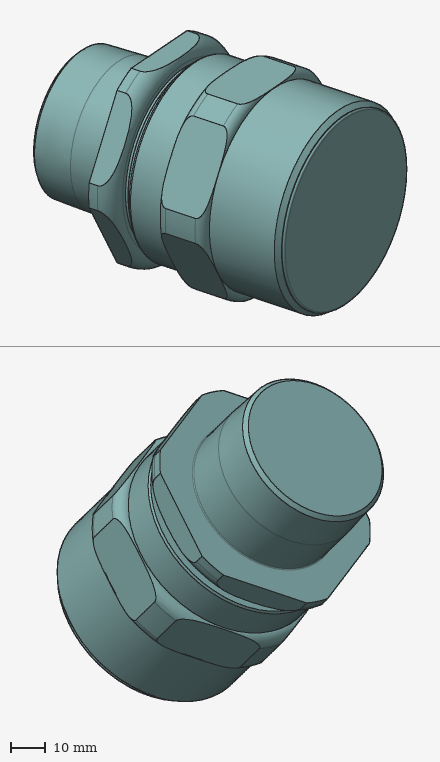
import cadquery as cq
import math

TOTAL_LENGTH = 94.8
TAPER_END_X = 14.2
ENTRY_HEX_X = 28.6
ENTRY_HEX_END_X = 37.0
WASHER_THICKNESS = 0.9
NUT_X = 40.3
NUT_HEX_X = 52.3
NUT_HEX_END_X = 69.3
WASHER_END_X = ENTRY_HEX_END_X + WASHER_THICKNESS

HEX_ACROSS_FLATS = 65.0
HEX_CORNER_DIAMETER = 70.8
HEX_ACROSS_CORNERS = HEX_ACROSS_FLATS / math.cos(math.radians(30))

SPIGOT_DIAMETER = 48.25
SPIGOT_CHAMFER = 1.2
TAPER_RATIO = 1 / 16
SPIGOT_ROOT_FILLET = 0.3
ENTRY_HEX_FACE_DIAMETER = 60.3
NECK_DIAMETER = 57.2
RELIEF_DIAMETER = 53.3

WASHER_DIAMETER = 57.4

SKIRT_DIAMETER = 64.0
SKIRT_CHAMFER_LENGTH = 0.8
SKIRT_CHAMFER_ANGLE = 30.0
NUT_DIAMETER = 64.8
NUT_END_CHAMFER = 1.5

SEAL_DIAMETER = 62.1
SEAL_LIP_THICKNESS = 1.0
NUT_END_X = TOTAL_LENGTH - SEAL_LIP_THICKNESS


def cylinder(diameter, start_x, end_x):
    """Solid cylinder about the X axis."""
    return cq.Workplane("YZ", origin=(start_x, 0, 0)).circle(diameter / 2).extrude(end_x - start_x)


def hexagon(start_x, end_x, front_round=0.0, back_round=0.0):
    """Hexagon with flats facing +Z and -Z, its corners turned down to a cylinder with rounded ends."""
    prism = (
        cq.Workplane("YZ", origin=(start_x, 0, 0))
        .polygon(6, HEX_ACROSS_CORNERS)
        .extrude(end_x - start_x)
    )
    envelope = cylinder(HEX_CORNER_DIAMETER, start_x, end_x)
    if front_round > 0:
        envelope = envelope.faces("<X").edges().fillet(front_round)
    if back_round > 0:
        envelope = envelope.faces(">X").edges().fillet(back_round)
    return prism.intersect(envelope)


def make_spigot():
    """Chamfered spigot that tapers towards its free end and has a fillet at its root."""
    radius = SPIGOT_DIAMETER / 2
    taper_radius = radius - TAPER_RATIO / 2 * (TAPER_END_X - SPIGOT_CHAMFER)
    fillet_middle = SPIGOT_ROOT_FILLET * math.sqrt(0.5)
    fillet_x = ENTRY_HEX_X - SPIGOT_ROOT_FILLET
    fillet_radius = radius + SPIGOT_ROOT_FILLET
    return (
        cq.Workplane("XY")
        .moveTo(0, 0)
        .lineTo(0, taper_radius - SPIGOT_CHAMFER)
        .lineTo(SPIGOT_CHAMFER, taper_radius)
        .lineTo(TAPER_END_X, radius)
        .lineTo(fillet_x, radius)
        .threePointArc(
            (fillet_x + fillet_middle, fillet_radius - fillet_middle),
            (ENTRY_HEX_X, fillet_radius),
        )
        .lineTo(ENTRY_HEX_X, 0)
        .close()
        .revolve(360, (0, 0, 0), (1, 0, 0))
    )


def make_entry_body():
    """Spigot, hexagon, relief under the washer, and neck that goes into the nut."""
    corner_round = (HEX_CORNER_DIAMETER - ENTRY_HEX_FACE_DIAMETER) / 2
    wrench_hex = hexagon(ENTRY_HEX_X, ENTRY_HEX_END_X, back_round=corner_round)
    relief = cylinder(RELIEF_DIAMETER, ENTRY_HEX_END_X, WASHER_END_X)
    neck = cylinder(NECK_DIAMETER, WASHER_END_X, NUT_HEX_END_X)
    return make_spigot().union(wrench_hex).union(relief).union(neck)


def make_washer():
    """Flat ring in the relief between the entry hexagon and the neck."""
    ring = cylinder(WASHER_DIAMETER, ENTRY_HEX_END_X, WASHER_END_X)
    return ring.cut(cylinder(RELIEF_DIAMETER, ENTRY_HEX_END_X, WASHER_END_X))


def make_nut():
    """Gland nut: chamfered skirt, hexagon that rounds into its neighbours, barrel and through bore."""
    chamfer_depth = SKIRT_CHAMFER_LENGTH * math.tan(math.radians(SKIRT_CHAMFER_ANGLE))
    skirt_radius = SKIRT_DIAMETER / 2
    skirt = (
        cq.Workplane("XY")
        .moveTo(NUT_X, 0)
        .lineTo(NUT_X, skirt_radius - chamfer_depth)
        .lineTo(NUT_X + SKIRT_CHAMFER_LENGTH, skirt_radius)
        .lineTo(NUT_HEX_X, skirt_radius)
        .lineTo(NUT_HEX_X, 0)
        .close()
        .revolve(360, (0, 0, 0), (1, 0, 0))
    )
    wrench_hex = hexagon(
        NUT_HEX_X,
        NUT_HEX_END_X,
        front_round=(HEX_CORNER_DIAMETER - SKIRT_DIAMETER) / 2,
        back_round=(HEX_CORNER_DIAMETER - NUT_DIAMETER) / 2,
    )
    barrel = cylinder(NUT_DIAMETER, NUT_HEX_END_X, NUT_END_X).faces(">X").edges().chamfer(NUT_END_CHAMFER)
    bore = cylinder(NECK_DIAMETER, NUT_X, NUT_END_X)
    return skirt.union(wrench_hex).union(barrel).cut(bore)


def make_end_seal():
    """Plug that fills the nut bore behind the neck, with a round-edged lip over the end of the nut."""
    lip_radius = SEAL_DIAMETER / 2
    edge_radius = SEAL_LIP_THICKNESS / 2
    lip = (
        cq.Workplane("XY")
        .moveTo(NUT_END_X, 0)
        .lineTo(NUT_END_X, lip_radius - edge_radius)
        .threePointArc((NUT_END_X + edge_radius, lip_radius), (TOTAL_LENGTH, lip_radius - edge_radius))
        .lineTo(TOTAL_LENGTH, 0)
        .close()
        .revolve(360, (0, 0, 0), (1, 0, 0))
    )
    plug = cylinder(NECK_DIAMETER, NUT_HEX_END_X, NUT_END_X)
    return plug.union(lip)


entry_body = make_entry_body()
washer = make_washer()
nut = make_nut()
end_seal = make_end_seal()

bodies = [entry_body, washer, nut, end_seal]
result = cq.Compound.makeCompound([body.solids().val() for body in bodies])